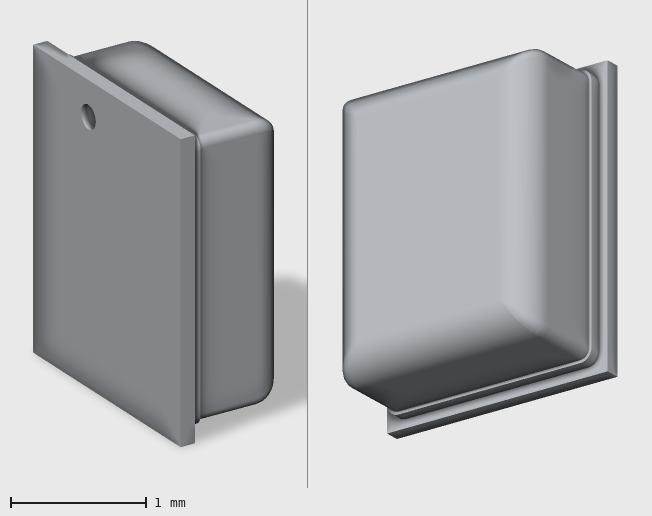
import cadquery as cq

board_width = 2.0
board_height = 2.5
board_thickness = 0.125
total_depth = 1.0

marker_diameter = 0.2
marker_depth = 0.05
marker_x = -0.25
marker_from_top = 0.3

pad_size = 0.35
pad_margin = 0.1
pad_thickness = 0.025
pad_rows = 4

lid_width = 1.8
lid_height = 2.3
lid_corner_radius = 0.075
lid_crown_radius = 0.25
flange_overhang = 0.025
flange_thickness = 0.1

outer_face_y = -total_depth / 2
inner_face_y = outer_face_y + board_thickness
lid_depth = total_depth - board_thickness
marker_z = board_height / 2 - marker_from_top
pad_column_x = board_width / 2 - pad_margin - pad_size / 2
pad_end_z = board_height / 2 - pad_margin - pad_size / 2
pad_pitch = 2 * pad_end_z / (pad_rows - 1)
pad_places = [
    (x, pad_end_z - row * pad_pitch)
    for x in (-pad_column_x, pad_column_x)
    for row in range(pad_rows)
]


def upright_block(width, depth, height, x, front_y, z):
    """Box centred on x and z that reaches from front_y toward +Y."""
    block = cq.Workplane("XY").box(width, depth, height, centered=(True, False, True))
    return block.translate((x, front_y, z))


def make_pad(x, z):
    """Square pad whose outer face is flush with the board."""
    return upright_block(pad_size, pad_thickness, pad_size, x, outer_face_y, z)


def make_board(pads):
    """Plate with the marker dimple and one recess for each pad."""
    board = upright_block(board_width, board_thickness, board_height, 0, outer_face_y, 0)
    marker = (
        cq.Workplane("XZ", origin=(marker_x, outer_face_y, marker_z))
        .circle(marker_diameter / 2)
        .extrude(-marker_depth)
    )
    board = board.cut(marker)
    for pad in pads:
        board = board.cut(pad)
    return board


def make_lid():
    """Cap with a crowned +Y end and rounded corners, on a slightly wider flange."""
    cap = upright_block(lid_width, lid_depth, lid_height, 0, inner_face_y, 0)
    cap = cap.faces(">Y").edges().fillet(lid_crown_radius)
    cap = cap.edges("|Y").fillet(lid_corner_radius)

    flange_width = lid_width + 2 * flange_overhang
    flange_height = lid_height + 2 * flange_overhang
    flange = upright_block(flange_width, flange_thickness, flange_height, 0, inner_face_y, 0)
    flange = flange.edges("|Y").fillet(lid_corner_radius + flange_overhang)
    return cap.union(flange)


pads = [make_pad(x, z) for x, z in pad_places]
board = make_board(pads)
lid = make_lid()

result = cq.Compound.makeCompound([body.solids().val() for body in (board, lid, *pads)])